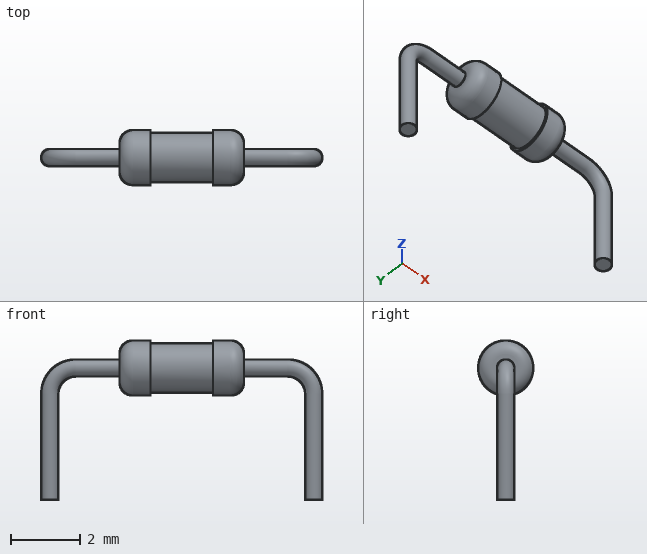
import cadquery as cq

overall_length = 8.12
overall_height = 4.6
lead_diameter = 0.5
bend_radius = 0.75

body_length = 3.605
body_diameter = 1.44
cap_diameter = 1.6
cap_length = 0.9
cap_fillet = 0.4

axis_height = overall_height - cap_diameter / 2
lead_x = (overall_length - lead_diameter) / 2
bend_start_x = lead_x - bend_radius
bend_end_z = axis_height - bend_radius


def cylinder_along_x(start_x, length, diameter):
    """Cylinder on the body axis, growing toward +X from start_x."""
    plane = cq.Workplane("YZ", origin=(start_x, 0, axis_height))
    return plane.circle(diameter / 2).extrude(length)


def end_cap():
    """Cap at the +X end of the body, with a rounded outer rim."""
    cap = cylinder_along_x(body_length / 2 - cap_length, cap_length, cap_diameter)
    return cap.faces(">X").edges().fillet(cap_fillet)


def bent_lead():
    """Round wire from the body centre out toward +X, then down to Z = 0."""
    wire_radius = lead_diameter / 2
    horizontal = cylinder_along_x(0, bend_start_x, lead_diameter)
    bend = (
        cq.Workplane("YZ", origin=(bend_start_x, 0, axis_height))
        .circle(wire_radius)
        .revolve(90, (0, -bend_radius, 0), (1, -bend_radius, 0))
    )
    vertical = cq.Workplane("XY").center(lead_x, 0).circle(wire_radius).extrude(bend_end_z)
    return horizontal.union(bend).union(vertical)


body = cylinder_along_x(-body_length / 2 + cap_length, body_length - 2 * cap_length, body_diameter)
right_end = end_cap().union(bent_lead())
left_end = right_end.mirror("YZ")
result = body.union(right_end).union(left_end)